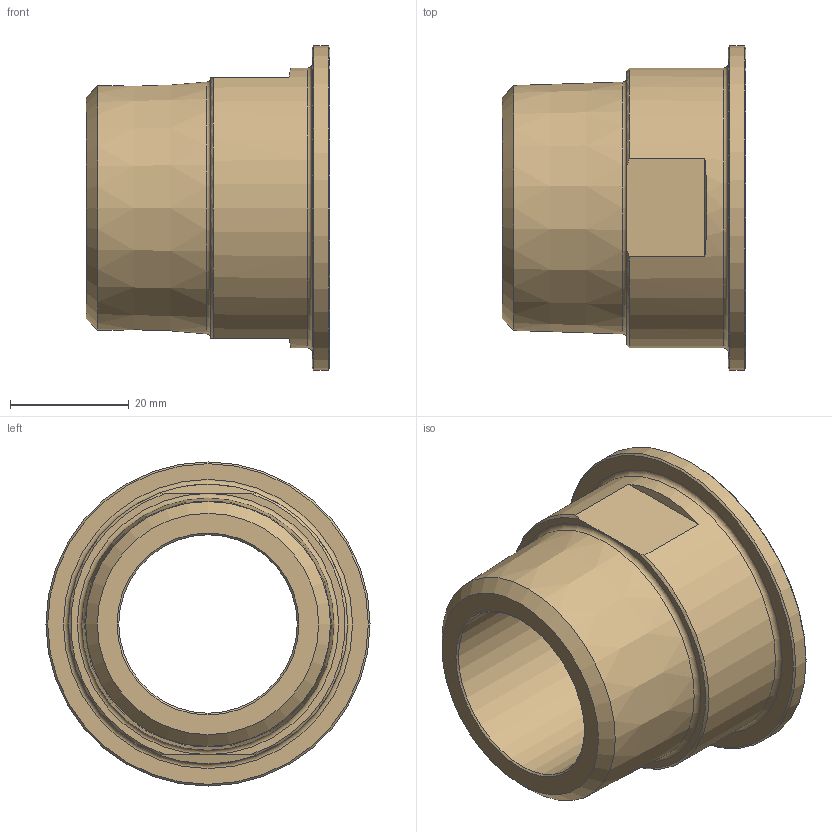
import cadquery as cq
import math

length = 41.0
flange_width = 3.0
flange_face_x = length - flange_width
shoulder_x = 21.0

bore_radius = 15.0
nose_radius = 20.6
taper_end_radius = 21.17
collar_radius = 23.5
flange_radius = 27.25

nose_chamfer = 2.0
bore_chamfer = 0.3
shoulder_chamfer = 0.4
flange_chamfer = 0.3
corner_fillet = 0.8

across_flats = 44.0
flat_end_x = 34.1
flat_wall_lean = math.radians(13.0)


def revolve_around_x(profile):
    """Close a half profile and turn it into a full ring around the X axis."""
    return profile.close().revolve(360, (0, 0, 0), (1, 0, 0))


def fillet_arc(profile, start, end):
    """Add a concave quarter arc that runs tangent from an axial line into a radial face."""
    center_x = start[0]
    center_r = end[1]
    reach = corner_fillet * math.cos(math.pi / 4)
    return profile.threePointArc((center_x + reach, center_r - reach), end)


def make_body():
    """Tapered nose, cylindrical collar and end flange with the through bore."""
    taper_end = (shoulder_x - corner_fillet, taper_end_radius)
    shoulder_root = (shoulder_x, taper_end_radius + corner_fillet)
    collar_end = (flange_face_x - corner_fillet, collar_radius)
    flange_root = (flange_face_x, collar_radius + corner_fillet)

    profile = (
        cq.Workplane("XY")
        .moveTo(bore_chamfer, bore_radius)
        .lineTo(0, bore_radius + bore_chamfer)
        .lineTo(0, nose_radius - nose_chamfer)
        .lineTo(nose_chamfer, nose_radius)
        .lineTo(*taper_end)
    )
    profile = fillet_arc(profile, taper_end, shoulder_root)
    profile = (
        profile.lineTo(shoulder_x, collar_radius - shoulder_chamfer)
        .lineTo(shoulder_x + shoulder_chamfer, collar_radius)
        .lineTo(*collar_end)
    )
    profile = fillet_arc(profile, collar_end, flange_root)
    profile = (
        profile.lineTo(flange_face_x, flange_radius - flange_chamfer)
        .lineTo(flange_face_x + flange_chamfer, flange_radius)
        .lineTo(length - flange_chamfer, flange_radius)
        .lineTo(length, flange_radius - flange_chamfer)
        .lineTo(length, bore_radius)
    )
    return revolve_around_x(profile)


def make_flat_cutter():
    """Prism that removes the collar above the upper flat, ending in a leaning wall."""
    flat_z = across_flats / 2
    top_z = flange_radius
    wall_top_x = flat_end_x + (top_z - flat_z) * math.tan(flat_wall_lean)
    return (
        cq.Workplane("XZ")
        .moveTo(shoulder_x, flat_z)
        .lineTo(flat_end_x, flat_z)
        .lineTo(wall_top_x, top_z)
        .lineTo(shoulder_x, top_z)
        .close()
        .extrude(collar_radius, both=True)
    )


result = make_body()
upper_cutter = make_flat_cutter()
for cutter in (upper_cutter, upper_cutter.mirror("XY")):
    result = result.cut(cutter)